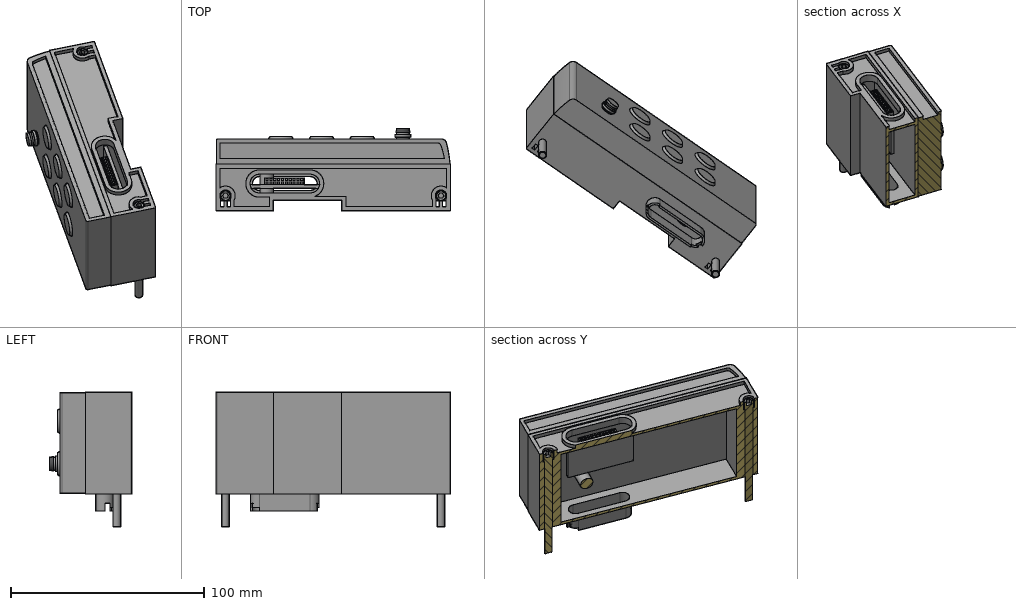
import cadquery as cq
import math

base_length = 121.6
base_depth = 24.1
base_height = 52.8
wall = 2.1
front_edge_radius = 0.5
top_pocket_depth = 2.2
top_plate = 2.0

notch_left = 29.75
notch_right = 65.2
notch_depth = 5.4
notch_wall_left = notch_left - wall
notch_wall_right = notch_right + wall

slot_y = 14.1
slot_x_first = 22.55
slot_x_last = 48.85
slot_x = (slot_x_first + slot_x_last) / 2
slot_span = slot_x_last - slot_x_first
slot_radius = 4.85
rim_width = 2.2
rim_radius = slot_radius + rim_width
shroud_radius = 4.65
shroud_bore_radius = 3.55
shroud_drop = 8.8

key_y_front = 11.35
key_y_back = 13.8
key_depth = 4.0
quarter_cut_depth = 1.75

room_left = 12.0
room_right = base_length - room_left
room_front = notch_depth + wall
room_back = base_depth - wall
room_top = base_height - top_pocket_depth - top_plate
bar_x = 26.3
bar_radius = 3.55
bar_z = 24.0

screw_y = 7.8
screw_inset = 5.0
screw_xs = (screw_inset, base_length - screw_inset)
post_radius = 5.0
post_half_width = 4.4
bore_radius = 2.95
bore_depth = 6.0
spring_slot_half_width = 2.5
tongue_half_width = 0.9
tongue_tip_y = 5.1

shank_radius = 2.05
screw_drop = 17.2
screw_tip_chamfer = 0.4
head_radius = 2.6
head_top_gap = 1.0
flute_count = 20
flute_radius = 0.2
socket_width = 2.6
socket_depth = 2.5

cover_inset_z = 0.3
cover_inset_x = 0.2
cover_back = 37.3
cover_height = base_height - 2 * cover_inset_z
cover_left = cover_inset_x
cover_right = base_length - cover_inset_x
cover_bulge = (120.7, 29.6)
cover_right_end = (118.9, cover_back)
cover_left_radius = 1.0
cover_right_radius = 3.0
cover_pocket_depth = 1.9
cover_pocket_left = 2.2
cover_pocket_front = 27.0
cover_pocket_back = 35.1
cover_pocket_right = 118.4
cover_pocket_bulge = (117.5, 31.0)
cover_pocket_right_end = (116.1, cover_pocket_back)
cover_pocket_corner_radius = 1.8

port_pitch = 21.05
port_first_x = 33.7
port_column_count = 3
port_lower_z = 15.7
port_upper_z = 37.8
port_base_radius = 6.5
port_top_radius = 5.6
port_height = 1.3

connector_x = port_first_x + port_column_count * port_pitch
connector_radius = 3.4
connector_height = 5.3
flange_radius = 4.1
flange_start = 0.6
flange_end = 2.3
flange_chamfer = 0.4
thread_radius = 3.65
thread_start = 3.2
thread_end = 4.1

board_front = 11.6
board_thickness = 1.9
board_back = board_front + board_thickness
board_half_length = 18.2
board_top = base_height - 5.5
board_bottom = bar_z + bar_radius
strip_left = 25.2
strip_pitch = 2.0
strip_columns = 10
strip_rows = 2
strip_length = 20.6
strip_width = 3.6
strip_height = 8.0
strip_row_pitch = 1.8
strip_top = base_height - 4.8
contact_size = 1.1
contact_depth = 3.0


def box(x_min, x_max, y_min, y_max, z_min, z_max):
    """Block between two opposite corners."""
    size = (x_max - x_min, y_max - y_min, z_max - z_min)
    return cq.Workplane("XY").box(*size, centered=False).translate((x_min, y_min, z_min))


def oblong(radius, z_min, z_max):
    """Upright prism with round ends, centred on the plug opening."""
    sketch = cq.Workplane("XY", origin=(slot_x, slot_y, z_min))
    return sketch.slot2D(slot_span + 2 * radius, 2 * radius).extrude(z_max - z_min)


def cylinder(x, y, radius, z_min, z_max):
    """Upright cylinder."""
    return cq.Workplane("XY", origin=(x, y, z_min)).circle(radius).extrude(z_max - z_min)


def top_pocket():
    """Shallow recess in the base top that leaves the rim, screw posts and outer walls standing."""
    floor = base_height - top_pocket_depth
    pocket = box(wall, base_length - wall, wall, base_depth - wall, floor, base_height)
    pocket = pocket.cut(box(notch_wall_left, notch_wall_right, 0, notch_depth + wall, floor, base_height))
    pocket = pocket.cut(oblong(rim_radius, floor, base_height))
    for x in screw_xs:
        post = cylinder(x, screw_y, post_radius, floor, base_height)
        foot = box(x - post_half_width, x + post_half_width, 0, screw_y, floor, base_height)
        pocket = pocket.cut(post).cut(foot)
    return pocket


def screw_passage(x):
    """Stepped screw hole with a slot in front of it, split by a spring tongue."""
    shank_hole = cylinder(x, screw_y, shank_radius, 0, base_height)
    head_hole = cylinder(x, screw_y, bore_radius, base_height - bore_depth, base_height)
    slot = box(x - spring_slot_half_width, x + spring_slot_half_width, wall, screw_y, 0, base_height)
    rear = box(x - spring_slot_half_width, x + spring_slot_half_width, tongue_tip_y, screw_y, 0,
               base_height - bore_depth)
    tongue = box(x - tongue_half_width, x + tongue_half_width, wall, tongue_tip_y, 0, base_height)
    return slot.cut(rear).union(head_hole).cut(tongue).union(shank_hole)


def make_shroud():
    """Oblong collar under the base, with end key slots and two opposite shortened quarters."""
    shroud = oblong(shroud_radius, -shroud_drop, 0)
    left = slot_x_first - shroud_radius
    right = slot_x_last + shroud_radius
    front = slot_y - shroud_radius
    back = slot_y + shroud_radius
    key = box(left, right, key_y_front, key_y_back, -shroud_drop, key_depth - shroud_drop)
    cut_top = quarter_cut_depth - shroud_drop
    front_quarter = box(left, slot_x_first, front, key_y_back, -shroud_drop, cut_top)
    back_quarter = box(slot_x_last, right, key_y_front, back, -shroud_drop, cut_top)
    return shroud.cut(key).cut(front_quarter).cut(back_quarter)


def make_base():
    body = box(0, base_length, 0, base_depth, 0, base_height)
    body = body.edges("|Z and <Y").fillet(front_edge_radius)
    body = body.cut(box(notch_left, notch_right, 0, notch_depth, 0, base_height))
    body = body.cut(top_pocket())
    body = body.cut(box(room_left, room_right, room_front, room_back, wall, room_top))
    body = body.cut(oblong(slot_radius, room_top, base_height))
    body = body.union(make_shroud())
    body = body.cut(oblong(shroud_bore_radius, -shroud_drop, wall))
    bar_start = cq.Workplane("XZ", origin=(bar_x, room_front, bar_z))
    body = body.union(bar_start.circle(bar_radius).extrude(room_front - room_back))
    for x in screw_xs:
        body = body.cut(screw_passage(x))
    return body


def make_screw(x):
    head_top = base_height - head_top_gap
    head_bottom = base_height - bore_depth
    shank = cylinder(x, screw_y, shank_radius, -screw_drop, head_bottom)
    shank = shank.faces("<Z").edges().chamfer(screw_tip_chamfer)
    head = cylinder(x, screw_y, head_radius, head_bottom, head_top)
    flutes = (
        cq.Workplane("XY", origin=(x, screw_y, head_bottom))
        .polarArray(head_radius, 0, 360, flute_count)
        .circle(flute_radius)
        .extrude(head_top - head_bottom)
    )
    corner_diameter = socket_width / math.cos(math.pi / 6)
    socket = (
        cq.Workplane("XY", origin=(x, screw_y, head_top))
        .polygon(6, corner_diameter)
        .extrude(-socket_depth)
    )
    return shank.union(head.cut(flutes).cut(socket))


def make_port(x, z):
    """Tapered round boss on the back face."""
    return (
        cq.Workplane("XZ", origin=(x, cover_back, z))
        .circle(port_base_radius)
        .workplane(offset=-port_height)
        .circle(port_top_radius)
        .loft(ruled=True)
    )


def make_connector():
    """Round connector with a chamfered flange and a thread collar."""

    def disc(radius, start, end):
        plane = cq.Workplane("XZ", origin=(connector_x, cover_back + start, port_lower_z))
        return plane.circle(radius).extrude(start - end)

    flange = disc(flange_radius, flange_start, flange_end).faces("<Y").edges().chamfer(flange_chamfer)
    collar = disc(thread_radius, thread_start, thread_end)
    return disc(connector_radius, 0, connector_height).union(flange).union(collar)


def make_cover():
    body = (
        cq.Workplane("XY", origin=(0, 0, cover_inset_z))
        .moveTo(cover_left, base_depth)
        .lineTo(cover_right, base_depth)
        .threePointArc(cover_bulge, cover_right_end)
        .lineTo(cover_left, cover_back)
        .close()
        .extrude(cover_height)
    )
    body = body.edges("|Z and >Y and <X").fillet(cover_left_radius)
    right_corner = cq.NearestToPointSelector((*cover_right_end, base_height / 2))
    body = body.edges(right_corner).fillet(cover_right_radius)
    pocket = (
        cq.Workplane("XY", origin=(0, 0, cover_inset_z + cover_height - cover_pocket_depth))
        .moveTo(cover_pocket_left, cover_pocket_front)
        .lineTo(cover_pocket_right, cover_pocket_front)
        .threePointArc(cover_pocket_bulge, cover_pocket_right_end)
        .lineTo(cover_pocket_left, cover_pocket_back)
        .close()
        .extrude(cover_pocket_depth)
    )
    pocket_corner = cq.NearestToPointSelector((*cover_pocket_right_end, base_height))
    pocket = pocket.edges("|Z").edges(pocket_corner).fillet(cover_pocket_corner_radius)
    body = body.cut(pocket)
    for column in range(port_column_count):
        for z in (port_lower_z, port_upper_z):
            body = body.union(make_port(port_first_x + column * port_pitch, z))
    return body.union(make_connector())


def make_board():
    """Upright board standing on the bar, with a two-row socket strip on its back."""
    board = box(slot_x - board_half_length, slot_x + board_half_length, board_front, board_back,
                board_bottom, board_top)
    strip = box(strip_left, strip_left + strip_length, board_back, board_back + strip_width,
                strip_top - strip_height, strip_top)
    strip_center = (strip_left + strip_length / 2, board_back + strip_width / 2, strip_top)
    contacts = (
        cq.Workplane("XY", origin=strip_center)
        .rarray(strip_pitch, strip_row_pitch, strip_columns, strip_rows)
        .rect(contact_size, contact_size)
        .extrude(-contact_depth)
    )
    return board.union(strip.cut(contacts))


base = make_base()
cover = make_cover()
board = make_board()
screws = [make_screw(x) for x in screw_xs]

result = cq.Compound.makeCompound(
    [base.val(), cover.val(), board.val(), *[screw.val() for screw in screws]]
)